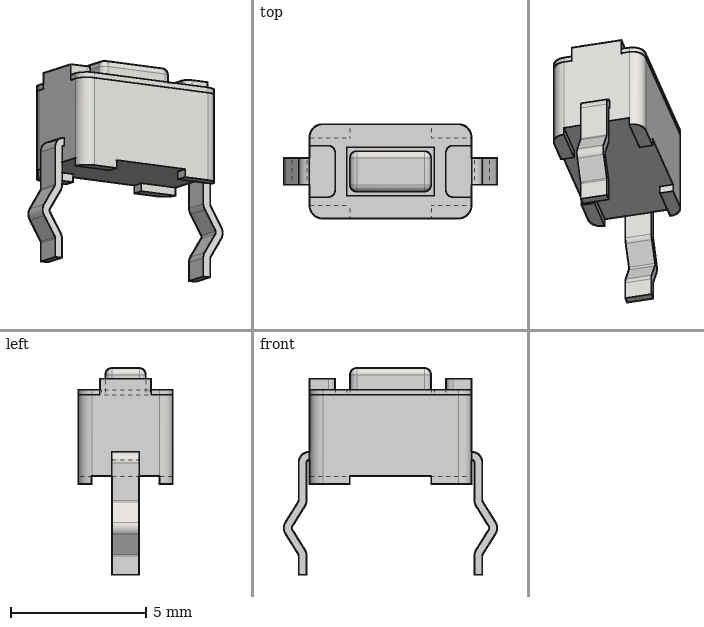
import cadquery as cq
import math


body_length = 6.0
body_width = 3.5
corner_radius = 0.5
cover_thickness = 0.2
cover_top = 3.5
housing_top = cover_top - cover_thickness

channel_depth = 0.3
long_channel_width = body_width - 2 * corner_radius
cross_channel_width = 3.0

post_length = 0.95
post_width = 1.9
post_radius = 0.25
post_top = 3.9

button_length = 3.0
button_width = 1.5
button_radius = 0.25
button_top = 4.3
window_length = 3.25
window_width = 1.8

leg_width = 1.0
leg_thickness = 0.3
leg_inner_radius = 0.1
leg_bottom = -3.35
leg_tip_x = 3.95
apex_z = -1.62
knee_drop = 0.95
bend_radius = leg_inner_radius + leg_thickness / 2
wall_x = body_length / 2
shank_x = wall_x + bend_radius
root_z = 1.05


def rounded_block(height):
    """Block with the rounded plan outline shared by the housing and the cover."""
    block = cq.Workplane("XY").rect(body_length, body_width).extrude(height)
    return block.edges("|Z").fillet(corner_radius)


def end_post(side, bottom, top):
    """Post flush with the end wall at side = -1 or +1, rounded on its two inner corners."""
    centre_x = side * (body_length - post_length) / 2
    inner_face = ">X" if side < 0 else "<X"
    post = (
        cq.Workplane("XY")
        .workplane(offset=bottom)
        .center(centre_x, 0)
        .rect(post_length, post_width)
        .extrude(top - bottom)
    )
    return post.faces(inner_face).edges("|Z").fillet(post_radius)


def make_housing():
    housing = rounded_block(housing_top)
    floor = cq.Workplane("XY")
    housing = housing.cut(floor.rect(body_length, long_channel_width).extrude(channel_depth))
    housing = housing.cut(floor.rect(cross_channel_width, body_width).extrude(channel_depth))
    for side in (-1, 1):
        housing = housing.union(end_post(side, housing_top, post_top))
    return housing


def make_cover():
    cover = rounded_block(cover_thickness).translate((0, 0, housing_top))
    window = (
        cq.Workplane("XY")
        .workplane(offset=housing_top)
        .rect(window_length, window_width)
        .extrude(cover_thickness)
    )
    cover = cover.cut(window)
    for side in (-1, 1):
        cover = cover.cut(end_post(side, housing_top, cover_top))
    return cover


def make_button():
    """Button standing on the housing, inside the window of the cover."""
    button = (
        cq.Workplane("XY")
        .workplane(offset=housing_top)
        .rect(button_length, button_width)
        .extrude(button_top - housing_top)
    )
    return button.edges("|Z or >Z").fillet(button_radius)


def kink_angle():
    """Slope from the vertical at which the strip's rounded outer bend just reaches the leg tip.

    The sharp apex of the middle line lies bend_radius / cos(angle) beyond the apex bend centre,
    so knee_drop * sin(angle) - reach * cos(angle) = bend_radius.
    """
    reach = leg_tip_x - leg_thickness / 2 - bend_radius - shank_x
    return math.atan2(reach, knee_drop) + math.asin(bend_radius / math.hypot(reach, knee_drop))


def make_leg():
    """Leg on the +X end, bent from the end wall down through an outward kink."""
    angle = kink_angle()
    knee_tangent = bend_radius * math.tan(angle / 2)
    apex_tangent = bend_radius * math.tan(angle)
    apex_x = shank_x + knee_drop * math.tan(angle)
    upper_knee_z = apex_z + knee_drop
    lower_knee_z = apex_z - knee_drop

    knee_x = shank_x + knee_tangent * math.sin(angle)
    knee_rise = knee_tangent * math.cos(angle)
    apex_start_x = apex_x - apex_tangent * math.sin(angle)
    apex_rise = apex_tangent * math.cos(angle)

    middle_line = (
        cq.Workplane("XZ")
        .moveTo(wall_x, root_z)
        .radiusArc((shank_x, root_z - bend_radius), bend_radius)
        .lineTo(shank_x, upper_knee_z + knee_tangent)
        .radiusArc((knee_x, upper_knee_z - knee_rise), -bend_radius)
        .lineTo(apex_start_x, apex_z + apex_rise)
        .radiusArc((apex_start_x, apex_z - apex_rise), bend_radius)
        .lineTo(knee_x, lower_knee_z + knee_rise)
        .radiusArc((shank_x, lower_knee_z - knee_tangent), -bend_radius)
        .lineTo(shank_x, leg_bottom)
    )
    strip_section = cq.Workplane("YZ", origin=(wall_x, 0, root_z)).rect(leg_width, leg_thickness)
    return strip_section.sweep(middle_line)


housing = make_housing()
cover = make_cover()
button = make_button()
leg = make_leg()
legs = [leg.rotate((0, 0, 0), (0, 0, 1), turn).val() for turn in (0, 180)]

result = cq.Compound.makeCompound([housing.val(), cover.val(), button.val(), *legs])